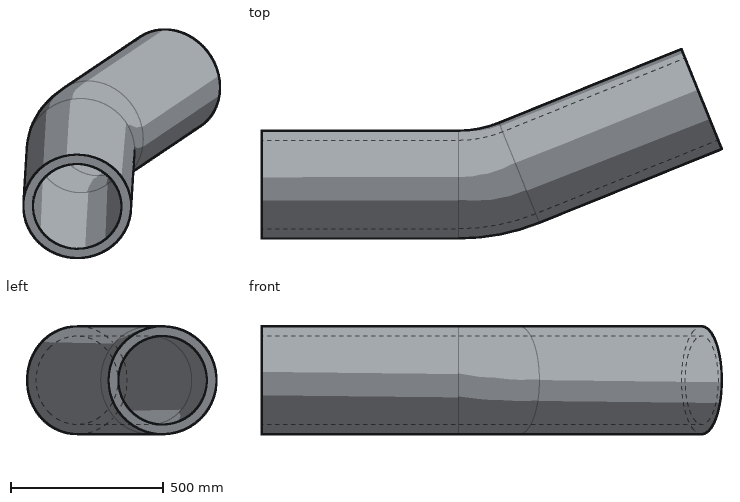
import cadquery as cq
import math

outer_diameter = 355.0
bore_diameter = 290.6

bend_angle = 22.0
bend_radius_in_diameters = 1.5
bend_radius = bend_radius_in_diameters * outer_diameter
face_to_corner = 750.0

bend_tangent = bend_radius * math.tan(math.radians(bend_angle / 2))
leg_length = face_to_corner - bend_tangent


def ring(workplane):
    """Draw the annular pipe section centred on a workplane."""
    return workplane.circle(outer_diameter / 2).circle(bore_diameter / 2)


def inlet_leg():
    """Straight leg running along +X from the origin to the bend."""
    return ring(cq.Workplane("YZ")).extrude(leg_length)


def bend():
    """Bend turning from +X towards +Y about a vertical axis."""
    start_plane = cq.Workplane("YZ", origin=(leg_length, 0, 0))
    axis_start = (bend_radius, 0)
    axis_end = (bend_radius, 1)
    return ring(start_plane).revolve(bend_angle, axis_start, axis_end)


def outlet_leg():
    """The inlet leg moved to start at the bend's far end and turned to follow it."""
    bend_centre = (leg_length, bend_radius, 0)
    vertical_end = (leg_length, bend_radius, 1)
    straight_on = inlet_leg().translate((leg_length, 0, 0))
    return straight_on.rotate(bend_centre, vertical_end, bend_angle)


result = inlet_leg().union(bend()).union(outlet_leg())